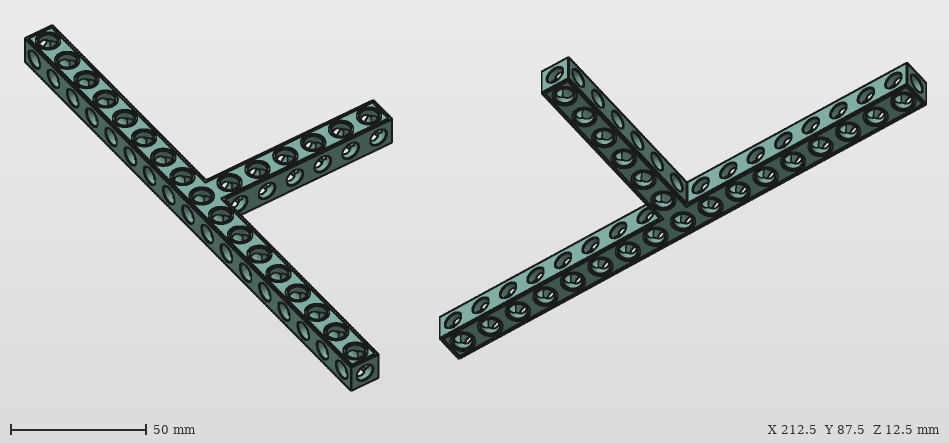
import cadquery as cq

beam_length = 212.5
beam_cell_count = 17
stem_cell_count = 6
hole_diameter = 7.0
edge_chamfer = 0.3
panel_depth = 0.2
panel_border = 1.1
collar_diameter = 9.1

cell = beam_length / beam_cell_count
half_cell = cell / 2
half_length = beam_length / 2
stem_end = stem_cell_count * cell + half_cell
hole_radius = hole_diameter / 2

beam_x = [(i - beam_cell_count // 2) * cell for i in range(beam_cell_count)]
stem_y = [(i + 1) * cell for i in range(stem_cell_count)]
vertical_centers = [(x, 0) for x in beam_x] + [(0, y) for y in stem_y]


def tee_plate(inset, bottom, height):
    """T-shaped plate whose outline lies `inset` inside that of the whole part."""
    plane = cq.Workplane("XY", origin=(0, 0, bottom))
    beam = plane.rect(beam_length - 2 * inset, cell - 2 * inset).extrude(height)
    stem_length = stem_end + half_cell - 2 * inset
    stem_middle = (stem_end - half_cell) / 2
    stem = plane.center(0, stem_middle).rect(cell - 2 * inset, stem_length).extrude(height)
    return beam.union(stem)


def panel_recess(bottom):
    """Cutter for a shallow panel that leaves the border and the hole collars standing."""
    collars = (
        cq.Workplane("XY", origin=(0, 0, bottom))
        .pushPoints(vertical_centers)
        .circle(collar_diameter / 2)
        .extrude(panel_depth)
    )
    return tee_plate(panel_border, bottom, panel_depth).cut(collars).val()


def through_hole(start, end):
    """Cutters for a through hole from `start` to `end` with both rims chamfered."""
    start = cq.Vector(*start)
    end = cq.Vector(*end)
    axis = end - start
    rim_radius = hole_radius + edge_chamfer
    return [
        cq.Solid.makeCylinder(hole_radius, axis.Length, start, axis),
        cq.Solid.makeCone(rim_radius, hole_radius, edge_chamfer, start, axis),
        cq.Solid.makeCone(rim_radius, hole_radius, edge_chamfer, end, -axis),
    ]


cutters = [panel_recess(-half_cell), panel_recess(half_cell - panel_depth)]

for x, y in vertical_centers:
    cutters += through_hole((x, y, -half_cell), (x, y, half_cell))

for x in beam_x:
    far_y = stem_end if x == 0 else half_cell
    cutters += through_hole((x, -half_cell, 0), (x, far_y, 0))

cutters += through_hole((-half_length, 0, 0), (half_length, 0, 0))
for y in stem_y:
    cutters += through_hole((-half_cell, y, 0), (half_cell, y, 0))

blank = tee_plate(0, -half_cell, cell).edges().chamfer(edge_chamfer)
result = cq.Workplane("XY").add(blank.val().cut(*cutters)).solids()